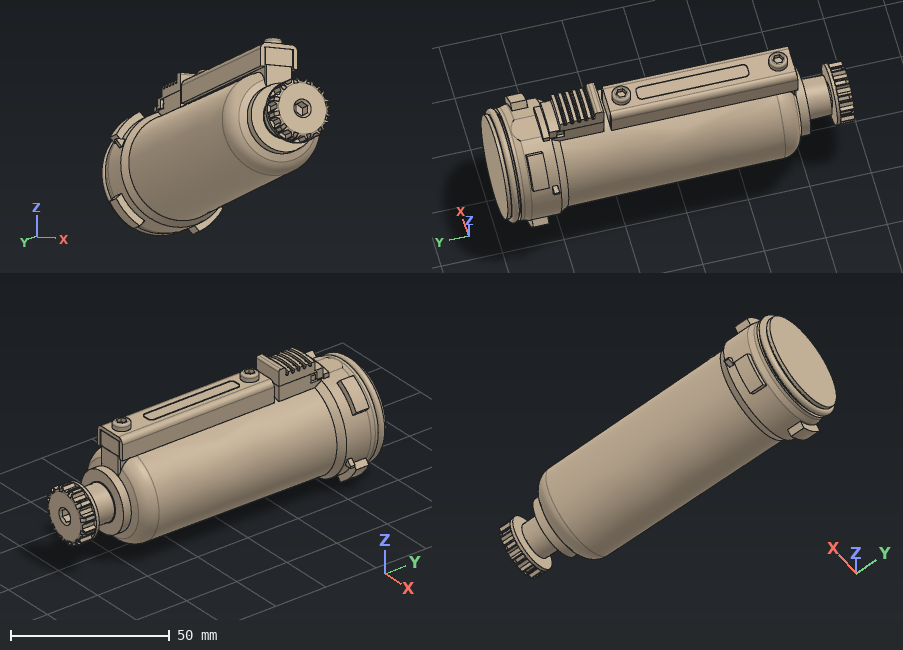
import cadquery as cq
import math

HEX_SIDES = 6

LENGTH = 115.0

RIM_RADIUS = 33.8 / 2
GROOVE_RADIUS = 32.5 / 2
RING_THICKNESS = 2.3
GROOVE_START = 1.3
GROOVE_END = GROOVE_START + RING_THICKNESS
RIM_END = 4.1

FLANGE_RADIUS = 36.5 / 2
FLANGE_END = 5.3
COLLAR_RADIUS = 18.7
COLLAR_START = 7.5
COLLAR_END = 17.1
COLLAR_CONE_END = 19.8
FLAT_HEIGHT = 18.3
FLAT_WIDTH = 16.1

TAB_ANGLES = (45, 135, 225, 315)
TAB_RADIUS = 21.2
TAB_WIDTH = 11.5
TAB_START = 7.9
TAB_LENGTH = 5.2
PEG_REACH = 39.2 / 2
PEG_TOP = 8.3
PEG_TIP_HEIGHT = 0.7
PEG_SLOPE_FOOT = (17.9, 5.8)
PEG_ROOT = 16.1
PEG_START = 14.5
PEG_LENGTH = 1.7

SHELL_TOP_RADIUS = 17.1
SHELL_END_RADIUS = 16.7
SHELL_END = 90.4
DOME_EDGE_RADIUS = 13.5
DOME_EDGE = 96.0
BOSS_RADIUS = 11.0
BOSS_START = 97.1
BOSS_END = 100.2
SPOUT_SHOULDER_RADIUS = 6.9
SPOUT_SHOULDER_END = 100.4
SPOUT_TOP_RADIUS = 6.7
SPOUT_END_RADIUS = 6.4
SPOUT_END = 108.2

RIB_WIDTH = 9.3
RIB_TOP = 17.4
RIB_CORNER = (0.3, 0.6)
BLOCK_SETBACK = 0.1

COVER_WIDTH = 12.9
COVER_TOP = 24.5
COVER_BOTTOM = 16.7
COVER_START = 36.5
COVER_WALL = 1.5
COVER_CORNER = 2.1
WINDOW_WIDTH = 4.6
WINDOW_START = 46.3
WINDOW_END = 82.6
WINDOW_CORNER = 1.4
WINDOW_DEPTH = 0.2

SCREW_STATIONS = (41.3, 92.3)
SCREW_DIAMETER = 6.0
SCREW_HEIGHT = 2.4
SCREW_ROUND = 0.9
SOCKET_CORNERS = 3.3
SOCKET_DEPTH = 1.5

LATCH_WIDTH = 11.6
LATCH_END = 34.2
LUG_TOP = 21.5
NOTCH_START = 18.9
NOTCH_END = 21.3
NOTCH_DEPTH = 1.8
NOTCH_STEP_HEIGHT = 20.1
NOTCH_STEP_DEPTH = 0.9

HOOK_WIDTH = 12.2
HOOK_START = 14.4
HOOK_RADIUS = 20.8
SHOULDER_START = 16.5
SHOULDER_RADIUS = 23.0
SHOULDER_BOTTOM = 18.7
GRIP_START = 19.8
GRIP_FLOOR_RADIUS = 25.1
GRIP_CREST_RADIUS = 26.2
CREST_COUNT = 5
CREST_PITCH = 2.3
CREST_WIDTH = 1.3
GROOVE_BEVEL = 0.3
LIP_START = GRIP_START + CREST_COUNT * CREST_PITCH
LIP_TOP = 27.5
LIP_ROUND = 0.8

NECK_RADIUS = 4.0
KNOB_START = 109.0
KNOB_RADIUS = 10.0
KNOB_RIM_END = 110.2
KNOB_FACE_RADIUS = 8.3
KNOB_BEVEL = 0.3
FLUTE_COUNT = 12
FLUTE_FLOOR_RADIUS = 8.9
FLUTE_FLOOR_WIDTH = 1.4
FLUTE_MOUTH_WIDTH = 3.2
RIDGE_SLOT_RADIUS = 9.5
RIDGE_SLOT_WIDTH = 1.4
COUNTERSINK_DIAMETER = 6.0
COUNTERSINK_DEPTH = 0.7
KEY_WIDTH = 4.0
KEY_DEPTH = 4.6


def box(width, start, end, bottom, top):
    """Block centred on x = 0, between two stations along the bowl and two heights."""
    size = (width, end - start, top - bottom)
    return cq.Workplane("XY").box(*size).translate((0, -(start + end) / 2, (bottom + top) / 2))


def section(start):
    """Workplane across the bowl whose extrusions run from the station toward the knob."""
    return cq.Workplane("XZ", origin=(0, -start, 0))


def revolved(outline):
    """Closes an outline of radii and axial places and turns it about the bowl axis."""
    return outline.close().revolve(360, (0, 0, 0), (0, 1, 0))


def shell():
    """Turned body from the mouth to the drain spout, with the dome arc tangent to the shell."""
    run = DOME_EDGE - SHELL_END
    drop = SHELL_END_RADIUS - DOME_EDGE_RADIUS
    dome_radius = (run**2 + drop**2) / (2 * drop)
    half_sweep = math.asin(run / dome_radius) / 2
    dome_middle = (
        SHELL_END_RADIUS - dome_radius * (1 - math.cos(half_sweep)),
        -SHELL_END - dome_radius * math.sin(half_sweep),
    )
    outline = (
        cq.Workplane("XY")
        .moveTo(0, 0)
        .lineTo(RIM_RADIUS, 0)
        .lineTo(RIM_RADIUS, -GROOVE_START)
        .lineTo(GROOVE_RADIUS, -GROOVE_START)
        .lineTo(GROOVE_RADIUS, -GROOVE_END)
        .lineTo(RIM_RADIUS, -GROOVE_END)
        .lineTo(RIM_RADIUS, -RIM_END)
        .lineTo(FLANGE_RADIUS, -RIM_END)
        .lineTo(FLANGE_RADIUS, -FLANGE_END)
        .lineTo(COLLAR_RADIUS, -COLLAR_START)
        .lineTo(COLLAR_RADIUS, -COLLAR_END)
        .lineTo(SHELL_TOP_RADIUS, -COLLAR_CONE_END)
        .lineTo(SHELL_END_RADIUS, -SHELL_END)
        .threePointArc(dome_middle, (DOME_EDGE_RADIUS, -DOME_EDGE))
        .lineTo(BOSS_RADIUS, -BOSS_START)
        .lineTo(BOSS_RADIUS, -BOSS_END)
        .lineTo(SPOUT_SHOULDER_RADIUS, -BOSS_END)
        .lineTo(SPOUT_SHOULDER_RADIUS, -SPOUT_SHOULDER_END)
        .lineTo(SPOUT_TOP_RADIUS, -SPOUT_SHOULDER_END)
        .lineTo(SPOUT_END_RADIUS, -SPOUT_END)
        .lineTo(0, -SPOUT_END)
    )
    flat = box(FLAT_WIDTH, FLANGE_END, COLLAR_CONE_END, FLAT_HEIGHT, TAB_RADIUS)
    return revolved(outline).cut(flat)


def bayonet_tabs():
    """Tabs with parallel sides, trimmed to one common radius."""
    disc = section(TAB_START).circle(TAB_RADIUS).extrude(TAB_LENGTH)
    arms = cq.Workplane("XY")
    for angle in TAB_ANGLES:
        arm = section(TAB_START).center(TAB_RADIUS, 0).rect(TAB_RADIUS, TAB_WIDTH).extrude(TAB_LENGTH)
        arms = arms.add(arm.rotate((0, 0, 0), (0, 1, 0), angle))
    return arms.combine().intersect(disc)


def peg(angle):
    """Pointed peg on the collar, turned about the bowl axis."""
    foot_x, foot_z = PEG_SLOPE_FOOT
    outline = [
        (-PEG_ROOT, PEG_TOP),
        (-PEG_REACH, PEG_TOP),
        (-PEG_REACH, PEG_TOP - PEG_TIP_HEIGHT),
        (-foot_x, foot_z),
        (-PEG_ROOT, foot_z),
    ]
    spike = section(PEG_START).polyline(outline).close().extrude(PEG_LENGTH)
    return spike.rotate((0, 0, 0), (0, 1, 0), angle)


def gauge_cover():
    """Rounded channel on the rib, with a clearance on both sides of the rib's upper block."""
    cover = box(COVER_WIDTH, COVER_START, BOSS_START, COVER_BOTTOM, COVER_TOP)
    cover = cover.edges("|Y and >Z").fillet(COVER_CORNER)
    inside = box(COVER_WIDTH - 2 * COVER_WALL, COVER_START, BOSS_START, COVER_BOTTOM, COVER_TOP - COVER_WALL)
    block = box(RIB_WIDTH, COVER_START, BOSS_START - BLOCK_SETBACK, RIB_TOP, COVER_TOP - COVER_WALL)
    window = box(WINDOW_WIDTH, WINDOW_START, WINDOW_END, COVER_TOP - WINDOW_DEPTH, COVER_TOP)
    return cover.cut(inside).union(block).cut(window.edges("|Z").fillet(WINDOW_CORNER))


def rib():
    """Rib from the bowl axis up to the gauge block, with its two end corners bevelled."""
    half = RIB_WIDTH / 2
    inset, setback = RIB_CORNER
    outline = [
        (-half, -COVER_START),
        (half, -COVER_START),
        (half, setback - BOSS_START),
        (half - inset, -BOSS_START),
        (inset - half, -BOSS_START),
        (-half, setback - BOSS_START),
    ]
    return cq.Workplane("XY").polyline(outline).close().extrude(RIB_TOP)


def screw_head(station):
    """Rounded cap screw head with a hexagon socket, standing on the cover."""
    plane = cq.Workplane("XY", origin=(0, -station, COVER_TOP))
    head = plane.circle(SCREW_DIAMETER / 2).extrude(SCREW_HEIGHT).faces(">Z").edges().fillet(SCREW_ROUND)
    socket = plane.workplane(offset=SCREW_HEIGHT).transformed(rotate=(0, 0, 90))
    return head.cut(socket.polygon(HEX_SIDES, SOCKET_CORNERS).extrude(-SOCKET_DEPTH))


def lug():
    """Guide under the latch, with a stepped notch in both sides near the collar."""
    base = box(LATCH_WIDTH, COLLAR_END, LATCH_END, 0, FLAT_HEIGHT)
    core = box(LATCH_WIDTH - 2 * NOTCH_DEPTH, NOTCH_START, NOTCH_END, 0, LUG_TOP)
    step = box(LATCH_WIDTH - 2 * NOTCH_STEP_DEPTH, NOTCH_START, NOTCH_END, 0, NOTCH_STEP_HEIGHT)
    guide = box(LATCH_WIDTH, NOTCH_END, LATCH_END, 0, LUG_TOP)
    return base.union(core).union(step).union(guide)


def make_bowl():
    """Bowl with its tabs, pegs, lug, rib, gauge cover and screw heads as one solid."""
    bowl = shell().union(bayonet_tabs())
    for angle in (0, 180):
        bowl = bowl.union(peg(angle))
    bowl = bowl.union(lug()).union(rib()).union(gauge_cover())
    for station in SCREW_STATIONS:
        bowl = bowl.union(screw_head(station))
    return bowl


def make_o_ring():
    """Round-section ring seated on the groove floor."""
    centre = (GROOVE_RADIUS + RING_THICKNESS / 2, -(GROOVE_START + GROOVE_END) / 2)
    ring = cq.Workplane("XY").moveTo(*centre).circle(RING_THICKNESS / 2)
    return ring.revolve(360, (0, 0, 0), (0, 1, 0))


def arched_block(width, start, end, bottom, radius):
    """Block whose top is an arc around the bowl axis."""
    disc = section(start).circle(radius).extrude(end - start)
    return box(width, start, end, bottom, radius).intersect(disc)


def grip_groove(start):
    """Ring that cuts one thumb groove, with both corners of its floor bevelled."""
    end = start + CREST_PITCH - CREST_WIDTH
    return revolved(
        cq.Workplane("XY")
        .moveTo(GRIP_CREST_RADIUS, -start)
        .lineTo(GRIP_FLOOR_RADIUS + GROOVE_BEVEL, -start)
        .lineTo(GRIP_FLOOR_RADIUS, -start - GROOVE_BEVEL)
        .lineTo(GRIP_FLOOR_RADIUS, GROOVE_BEVEL - end)
        .lineTo(GRIP_FLOOR_RADIUS + GROOVE_BEVEL, -end)
        .lineTo(GRIP_CREST_RADIUS, -end)
    )


def make_latch():
    """Slider with a front hook, a shoulder, a ribbed thumb grip and a raised end lip."""
    latch = box(LATCH_WIDTH, LIP_START, LATCH_END, LUG_TOP, LIP_TOP).edges("|X and >Z").fillet(LIP_ROUND)
    latch = latch.union(arched_block(HOOK_WIDTH, HOOK_START, SHOULDER_START, FLAT_HEIGHT, HOOK_RADIUS))
    latch = latch.union(
        arched_block(LATCH_WIDTH, SHOULDER_START, NOTCH_START, SHOULDER_BOTTOM, SHOULDER_RADIUS)
    )
    latch = latch.union(arched_block(LATCH_WIDTH, NOTCH_START, GRIP_START, LUG_TOP, SHOULDER_RADIUS))
    grip = arched_block(LATCH_WIDTH, GRIP_START, LIP_START, LUG_TOP, GRIP_CREST_RADIUS)
    for index in range(CREST_COUNT):
        grip = grip.cut(grip_groove(GRIP_START + index * CREST_PITCH + CREST_WIDTH))
    latch = latch.union(grip)
    return latch


def flute():
    """Trapezoid groove along the knob edge, narrower at its floor."""
    outline = [
        (-FLUTE_FLOOR_WIDTH / 2, FLUTE_FLOOR_RADIUS),
        (FLUTE_FLOOR_WIDTH / 2, FLUTE_FLOOR_RADIUS),
        (FLUTE_MOUTH_WIDTH / 2, KNOB_RADIUS),
        (-FLUTE_MOUTH_WIDTH / 2, KNOB_RADIUS),
    ]
    return section(KNOB_RIM_END).polyline(outline).close().extrude(LENGTH - KNOB_RIM_END)


def ridge_slot():
    """Shallow slot along a ridge crown, with a 45 degree run-out to the knob face."""
    run_out = RIDGE_SLOT_RADIUS - KNOB_FACE_RADIUS
    outline = [
        (-KNOB_RIM_END, KNOB_RADIUS),
        (-KNOB_RIM_END, RIDGE_SLOT_RADIUS),
        (run_out - LENGTH, RIDGE_SLOT_RADIUS),
        (-LENGTH, KNOB_FACE_RADIUS),
        (-LENGTH, KNOB_RADIUS),
    ]
    return cq.Workplane("YZ").polyline(outline).close().extrude(RIDGE_SLOT_WIDTH / 2, both=True)


def key_socket():
    """Countersunk hexagon hole in the knob face, with one corner pointing up."""
    countersink = revolved(
        cq.Workplane("XY")
        .moveTo(0, -LENGTH)
        .lineTo(COUNTERSINK_DIAMETER / 2, -LENGTH)
        .lineTo(KEY_WIDTH / 2, COUNTERSINK_DEPTH - LENGTH)
        .lineTo(0, COUNTERSINK_DEPTH - LENGTH)
    )
    corners = KEY_WIDTH / math.cos(math.pi / HEX_SIDES)
    hexagon = section(LENGTH - KEY_DEPTH).transformed(rotate=(0, 0, 90)).polygon(HEX_SIDES, corners)
    return countersink.union(hexagon.extrude(KEY_DEPTH))


def make_knob():
    """Knob with flutes and slotted ridges, a bevelled face, a key socket and a neck that meets the spout."""
    knob = revolved(
        cq.Workplane("XY")
        .moveTo(0, -SPOUT_END)
        .lineTo(NECK_RADIUS, -SPOUT_END)
        .lineTo(NECK_RADIUS, -KNOB_START)
        .lineTo(KNOB_RADIUS, -KNOB_START)
        .lineTo(KNOB_RADIUS, KNOB_BEVEL - LENGTH)
        .lineTo(KNOB_FACE_RADIUS, -LENGTH)
        .lineTo(0, -LENGTH)
    )
    pitch = 360 / FLUTE_COUNT
    for index in range(FLUTE_COUNT):
        knob = knob.cut(flute().rotate((0, 0, 0), (0, 1, 0), index * pitch))
        knob = knob.cut(ridge_slot().rotate((0, 0, 0), (0, 1, 0), (index + 0.5) * pitch))
    return knob.cut(key_socket())


bowl = make_bowl()
o_ring = make_o_ring()
latch = make_latch()
knob = make_knob()

bodies = [bowl, o_ring, latch, knob]
result = cq.Compound.makeCompound([body.solids().val() for body in bodies])